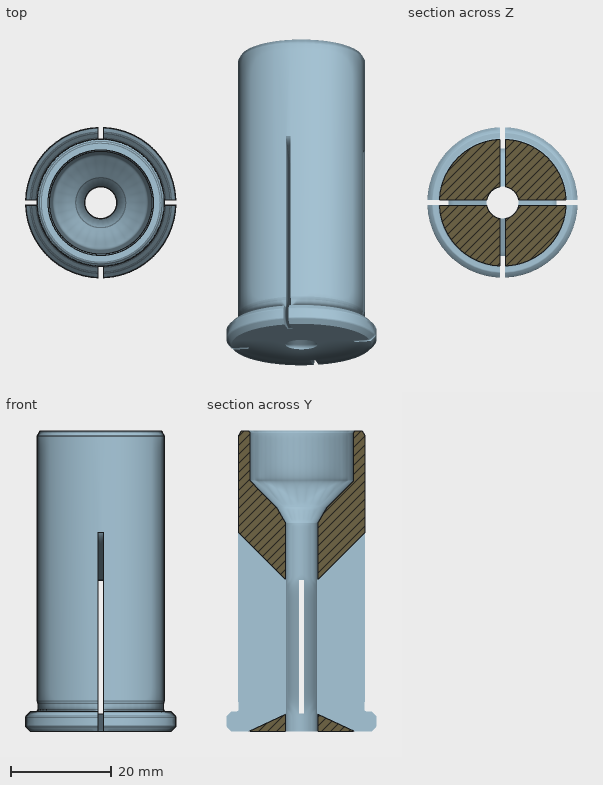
import cadquery as cq
import math

length = 60.0
body_radius = 25.4 / 2
mouth_chamfer_height = 1.03
mouth_chamfer_angle = 30.0
edge_fillet = 0.4

flange_radius = 30.0 / 2
flange_height = 4.0
flange_chamfer = 1.0

undercut_depth = 0.15
undercut_top = 6.15
undercut_run_out_angle = 15.0
undercut_fillet = 0.4

counterbore_radius = 20.5 / 2
counterbore_depth = 10.0
rim_chamfer_height = 0.5
rim_chamfer_angle = 30.0
throat_radius = 10.0 / 2
hole_radius = 6.35 / 2
funnel_angle = 45.0
throat_angle = 30.0

slot_count = 4
slot_width = 1.0
slot_top_on_axis = 27.0
slot_top_angle = 45.0
slot_bottom_on_axis = 5.0
slot_bottom_angle = 65.0

full_turn = 360
tolerance = 1e-6


def rise(width, angle):
    """Height gained by a slope of this width, leaning this many degrees from the axis."""
    return width / math.tan(math.radians(angle))


def spread(height, angle):
    """Width gained by a slope of this height, leaning this many degrees from the axis."""
    return height * math.tan(math.radians(angle))


def revolved(profile):
    """Solid of revolution about Z from a (radius, height) profile."""
    return profile.close().revolve(full_turn, (0, 0, 0), (0, 1, 0))


def rounded(solid, fillet_radius, *points):
    """Round the circular edges found at these (edge radius, height) places."""
    for edge_radius, height in points:
        edges = [
            edge
            for edge in solid.edges("%CIRCLE").vals()
            if abs(edge.radius() - edge_radius) < tolerance and abs(edge.Center().z - height) < tolerance
        ]
        solid = solid.newObject(edges).fillet(fillet_radius)
    return solid


def make_body():
    """Outside of the sleeve and flange, without the bore and slots."""
    flange_face_radius = flange_radius - flange_chamfer
    mouth_radius = body_radius - spread(mouth_chamfer_height, mouth_chamfer_angle)
    neck_radius = body_radius - undercut_depth
    run_out = rise(undercut_depth, undercut_run_out_angle)
    body = revolved(
        cq.Workplane("XZ")
        .lineTo(flange_face_radius, 0)
        .lineTo(flange_radius, flange_chamfer)
        .lineTo(flange_radius, flange_height - flange_chamfer)
        .lineTo(flange_face_radius, flange_height)
        .lineTo(neck_radius, flange_height)
        .lineTo(neck_radius, undercut_top - run_out)
        .lineTo(body_radius, undercut_top)
        .lineTo(body_radius, length - mouth_chamfer_height)
        .lineTo(mouth_radius, length)
        .lineTo(0, length)
    )
    body = rounded(
        body,
        edge_fillet,
        (flange_radius, flange_chamfer),
        (flange_radius, flange_height - flange_chamfer),
        (flange_face_radius, flange_height),
        (mouth_radius, length),
    )
    return rounded(body, undercut_fillet, (neck_radius, flange_height))


def make_bore():
    """Space removed along the axis, from the foot to the mouth."""
    funnel_top = length - counterbore_depth
    throat_top = funnel_top - rise(counterbore_radius - throat_radius, funnel_angle)
    hole_top = throat_top - rise(throat_radius - hole_radius, throat_angle)
    rim_radius = counterbore_radius + spread(rim_chamfer_height, rim_chamfer_angle)
    return revolved(
        cq.Workplane("XZ")
        .lineTo(hole_radius, 0)
        .lineTo(hole_radius, hole_top)
        .lineTo(throat_radius, throat_top)
        .lineTo(counterbore_radius, funnel_top)
        .lineTo(counterbore_radius, length - rim_chamfer_height)
        .lineTo(rim_radius, length)
        .lineTo(0, length)
    )


def make_slot():
    """Radial slot on the +X side; its sloping ends widen it outward from the axis."""
    return (
        cq.Workplane("XZ")
        .moveTo(0, slot_bottom_on_axis)
        .lineTo(0, slot_top_on_axis)
        .lineTo(flange_radius, slot_top_on_axis + rise(flange_radius, slot_top_angle))
        .lineTo(flange_radius, slot_bottom_on_axis - rise(flange_radius, slot_bottom_angle))
        .close()
        .extrude(slot_width / 2, both=True)
    )


result = make_body().cut(make_bore())
for number in range(slot_count):
    turn = number * full_turn / slot_count
    result = result.cut(make_slot().rotate((0, 0, 0), (0, 0, 1), turn))